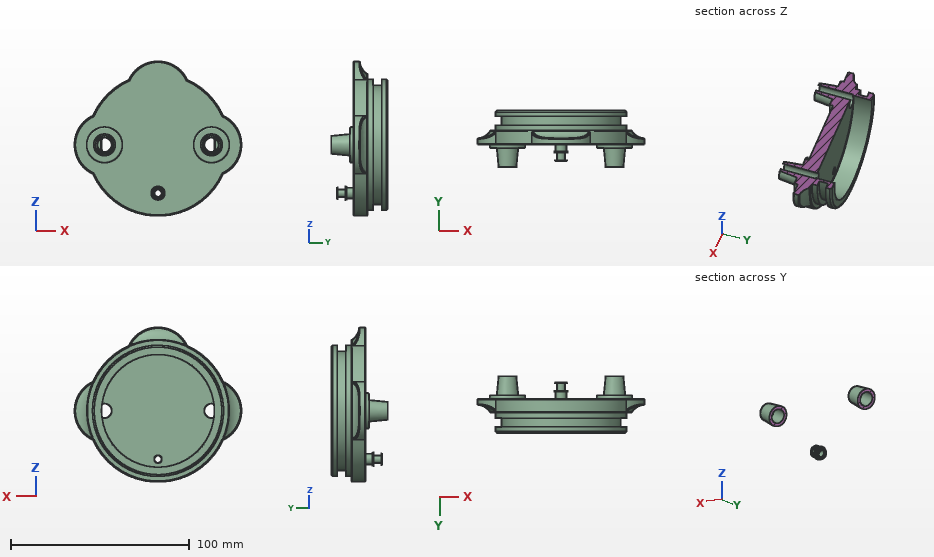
import cadquery as cq

plate_radius = 39.9
plate_thickness = 8.0
plate_chamfer = 0.6
lobe_tip_radius = 46.8
lobe_radius = 18.0
lobe_offset = lobe_tip_radius - lobe_radius
lobe_tip_thickness = 3.65
scoop_radius = 8.3
overlap = 0.9

plug_radius = 73.5 / 2
groove_radius = 66.9 / 2
plug_back = 19.3
groove_start = 10.95
groove_end = 15.8
plug_chamfer = 1.0
cavity_radius = 31.5
cavity_bevel = 0.6

port_offset = 29.95
flange_radius = 20.0 / 2
flange_thickness = 2.0
flange_fillet = 0.9
port_length = 12.5
port_base_radius = 6.1
port_tip_radius = 5.1
port_bore_radius = 8.0 / 2

nipple_offset = 27.05
nipple_base_radius = 6.2 / 2
nipple_neck_radius = 2.2
nipple_bore_radius = 4.0 / 2
collar_start = 3.8
collar_end = 4.5
collar_back_radius = 3.65
collar_front_radius = 3.8
rim_start = 8.7
nipple_length = 9.3
rim_back_radius = 3.4
rim_front_radius = 3.0
rim_mouth_radius = 2.6
rim_mouth_depth = 0.6
collar_dish_radius = 3.6


def disc(radius, start, end, x=0, z=0):
    """Cylinder along Y between two Y positions."""
    centre = cq.Vector(x, start, z)
    return cq.Workplane(obj=cq.Solid.makeCylinder(radius, end - start, centre, cq.Vector(0, 1, 0)))


def revolve_about_y(profile):
    """Turn a closed (radius, Y) profile about the Y axis."""
    return profile.close().revolve(360, (0, 0, 0), (0, 1, 0))


def make_lobe(angle):
    """One lobe, hollowed behind by a concave scoop, turned about Y to its place."""
    lobe = disc(lobe_radius, 0, plate_thickness, lobe_offset)
    ring_centre = cq.Vector(0, lobe_tip_thickness + scoop_radius, 0)
    scoop = cq.Solid.makeTorus(lobe_tip_radius, scoop_radius, ring_centre, cq.Vector(0, 1, 0))
    lobe = lobe.cut(cq.Workplane(obj=scoop))
    lobe = lobe.faces("<Y").chamfer(plate_chamfer)
    lobe = lobe.faces("%TORUS").edges("not(>Y)").chamfer(plate_chamfer)
    return lobe.rotate((0, 0, 0), (0, 1, 0), angle)


def make_plate():
    """Round plate with lobes at the left, right and top."""
    plate = disc(plate_radius, 0, plate_thickness).faces("<Y or >Y").chamfer(plate_chamfer)
    for angle in (0, -90, 180):
        plate = plate.union(make_lobe(angle))
    return plate


def make_plug():
    """Grooved plug with a chamfered back rim."""
    profile = (
        cq.Workplane("XY")
        .moveTo(0, plate_thickness - overlap)
        .lineTo(plug_radius, plate_thickness - overlap)
        .lineTo(plug_radius, groove_start)
        .lineTo(groove_radius, groove_start)
        .lineTo(groove_radius, groove_end)
        .lineTo(plug_radius, groove_end)
        .lineTo(plug_radius, plug_back - plug_chamfer)
        .lineTo(plug_radius - plug_chamfer, plug_back)
        .lineTo(0, plug_back)
    )
    return revolve_about_y(profile)


def make_cavity():
    """Round recess open at the back, flared where it meets its floor."""
    profile = (
        cq.Workplane("XY")
        .moveTo(0, plate_thickness)
        .lineTo(cavity_radius + cavity_bevel, plate_thickness)
        .lineTo(cavity_radius, plate_thickness + cavity_bevel)
        .lineTo(cavity_radius, plug_back)
        .lineTo(0, plug_back)
    )
    return revolve_about_y(profile)


def make_port(x):
    """Rounded flange carrying a tapered spout."""
    flange = disc(flange_radius, -flange_thickness, overlap, x)
    flange = flange.faces("<Y").edges().fillet(flange_fillet)
    spout = cq.Workplane(obj=cq.Solid.makeCone(
        port_base_radius, port_tip_radius, port_length - flange_thickness,
        cq.Vector(x, -flange_thickness, 0), cq.Vector(0, -1, 0)))
    return flange.union(spout)


def make_nipple():
    """Stepped pin with a dished collar at mid-length and a flared rim at its tip."""
    profile = (
        cq.Workplane("XY")
        .moveTo(0, overlap)
        .lineTo(nipple_base_radius, overlap)
        .lineTo(nipple_base_radius, -collar_start)
        .lineTo(collar_back_radius, -collar_start)
        .lineTo(collar_front_radius, -collar_end)
        .lineTo(collar_dish_radius, -collar_end)
        .lineTo(nipple_neck_radius, -collar_start)
        .lineTo(nipple_neck_radius, -rim_start)
        .lineTo(rim_back_radius, -rim_start)
        .lineTo(rim_front_radius, -nipple_length)
        .lineTo(rim_mouth_radius, -nipple_length)
        .lineTo(nipple_bore_radius, rim_mouth_depth - nipple_length)
        .lineTo(0, rim_mouth_depth - nipple_length)
    )
    return revolve_about_y(profile).translate((0, 0, -nipple_offset))


result = make_plate().union(make_plug()).cut(make_cavity())

for port_x in (-port_offset, port_offset):
    result = result.union(make_port(port_x))
    result = result.cut(disc(port_bore_radius, -port_length, plate_thickness, port_x))

result = result.union(make_nipple())
result = result.cut(disc(nipple_bore_radius, -nipple_length, plate_thickness, 0, -nipple_offset))